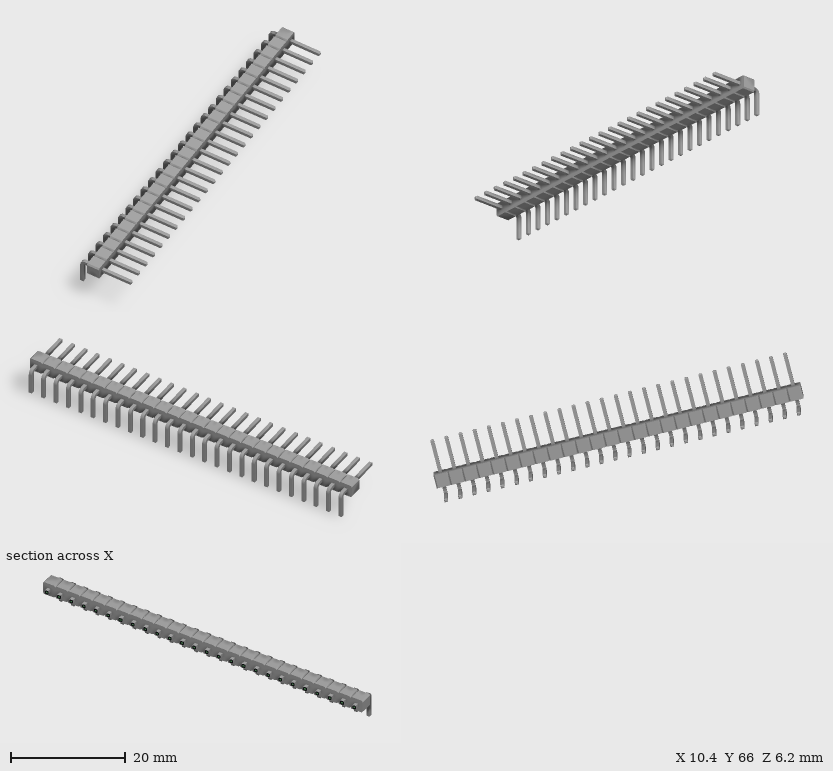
import cadquery as cq

pin_count = 26
row_length = 66.05
pitch = row_length / pin_count
housing_depth = 2.45
housing_height = pitch
cell_chamfer = 0.25

pin_width = 0.64
bend_radius = 1.0
tip_chamfer = 0.165
overall_depth = 10.4
overall_height = 6.2

housing_left = 1.9
pin_top = -(housing_height - pin_width) / 2
leg_bottom = -overall_height


def make_housing():
    """Extrude the outline of a row of cells with chamfered edges."""
    outline = []
    for cell in range(pin_count):
        start = cell * pitch
        outline += [
            (start, -cell_chamfer),
            (start + cell_chamfer, 0),
            (start + pitch - cell_chamfer, 0),
        ]
    outline.append((row_length, -cell_chamfer))
    outline += [(y, -housing_height - z) for y, z in reversed(outline)]
    return (
        cq.Workplane("YZ", origin=(housing_left, 0, 0))
        .polyline(outline)
        .close()
        .extrude(housing_depth)
    )


def make_tip(plane):
    """Taper a square pin end along the plane's normal."""
    tip_width = pin_width - 2 * tip_chamfer
    return (
        cq.Workplane(plane)
        .rect(pin_width, pin_width)
        .workplane(offset=tip_chamfer)
        .rect(tip_width, tip_width)
        .loft(ruled=True)
    )


def make_pin():
    """One right-angle pin centred on Y = 0, with both ends tapered."""
    leg_end = leg_bottom + tip_chamfer
    arm_end = overall_depth - tip_chamfer
    inner_radius = bend_radius - pin_width
    bend_z = pin_top - bend_radius
    shank = (
        cq.Workplane("XZ", origin=(0, pin_width / 2, 0))
        .moveTo(0, leg_end)
        .lineTo(0, bend_z)
        .radiusArc((bend_radius, pin_top), bend_radius)
        .lineTo(arm_end, pin_top)
        .lineTo(arm_end, pin_top - pin_width)
        .lineTo(bend_radius, pin_top - pin_width)
        .radiusArc((pin_width, bend_z), -inner_radius)
        .lineTo(pin_width, leg_end)
        .close()
        .extrude(pin_width)
    )
    leg_plane = cq.Plane(origin=(pin_width / 2, 0, leg_end), xDir=(1, 0, 0), normal=(0, 0, -1))
    arm_plane = cq.Plane(
        origin=(arm_end, 0, pin_top - pin_width / 2), xDir=(0, 1, 0), normal=(1, 0, 0)
    )
    return shank.union(make_tip(leg_plane)).union(make_tip(arm_plane))


result = make_housing()
pin = make_pin()
for index in range(pin_count):
    result = result.union(pin.translate((0, (index + 0.5) * pitch, 0)))